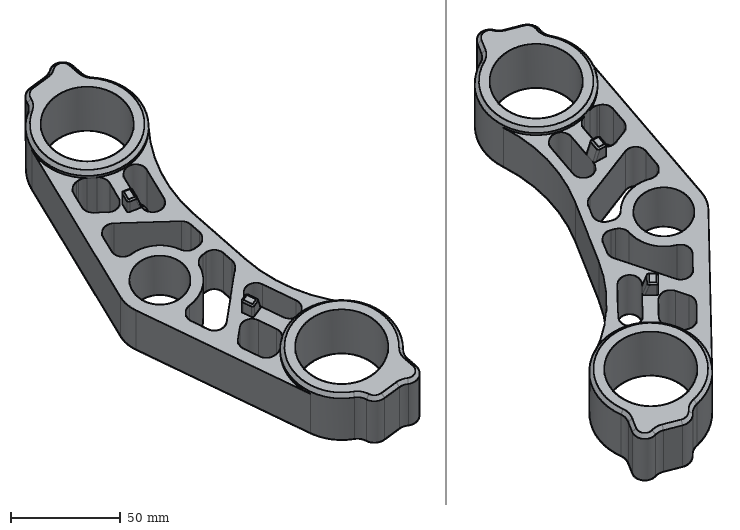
import cadquery as cq
import math

overall_length = 245.5

plate_height = 30.2
boss_height = 34.0
peg_top = 39.0

hub_bore_radius = 14.0
hub_wall_radius = 20.0

boss_x, boss_y = -86.5, 34.0
boss_radius = 28.2
boss_bore_radius = 21.4
boss_chamfer = 2.0

tip_y = -20.6
tip_radius = 18.0
tip_centre_y = tip_y + tip_radius

lug_side_x = -120.3
lug_top_y = 52.5
upper_nose_radius = 6.1
upper_nose_x = -overall_length / 2 + upper_nose_radius
upper_nose_y = lug_top_y - upper_nose_radius
lower_nose_radius = 6.9
lower_nose_x = lug_side_x + lower_nose_radius
lower_nose_y = 29.5
lug_blend_radius = 7.4

rear_y = 37.0
rear_sweep_radius = 78.5

tip_to_boss = math.hypot(boss_x, boss_y - tip_centre_y)
arm_angle = (math.atan2(boss_y - tip_centre_y, -boss_x)
             - math.asin((boss_radius - tip_radius) / tip_to_boss))
arm_degrees = math.degrees(arm_angle)

pocket_corner_radius = 5.6
centre_rib = 5.2
large_pocket_rear_y = 32.0
large_pocket_front = -12.8
small_pocket_front = -14.0
small_pocket_rear = 3.5
small_pocket_wall_x = -67.3
brace_width = 6.5
brace_angle = math.radians(49.7)
brace_foot_x = -43.7

slot_radius = 5.6
slot_across = 16.5
slot_outer_end = -59.5
slot_inner_end = -41.5

peg_along = -44.5
peg_width = 6.6
peg_front = small_pocket_rear
peg_rear = slot_across - slot_radius
peg_rear_lean = 2.5
peg_corner_radius = 1.0
peg_top_chamfer = 0.85


def polar(centre, radius, angle):
    """Point on a circle."""
    return (centre[0] + radius * math.cos(angle), centre[1] + radius * math.sin(angle))


def toward(start, end, distance):
    """Point at a distance from start in the direction of end."""
    return polar(start, distance, math.atan2(end[1] - start[1], end[0] - start[0]))


def arc_middle(centre, start, end):
    """Middle of the shorter arc between two points about a centre."""
    chord_middle = ((start[0] + end[0]) / 2, (start[1] + end[1]) / 2)
    return toward(centre, chord_middle, math.dist(centre, start))


def arm_point(along, across):
    """Point given along and square to the left arm, in part coordinates."""
    return (along * math.cos(arm_angle) + across * math.sin(arm_angle),
            -along * math.sin(arm_angle) + across * math.cos(arm_angle))


def crossing(point_a, angle_a, point_b, angle_b):
    """Where two lines, each given by a point and an angle, cross."""
    dx, dy = point_b[0] - point_a[0], point_b[1] - point_a[1]
    distance = ((dx * math.sin(angle_b) - dy * math.cos(angle_b))
                / math.sin(angle_b - angle_a))
    return polar(point_a, distance, angle_a)


hub = (0, 0)
boss = (boss_x, boss_y)


def cylinder(centre, radius, height):
    """Upright cylinder standing on the underside plane."""
    return cq.Workplane("XY").center(*centre).circle(radius).extrude(height)


def plate():
    """Left half of the plate, reaching to the boss axis."""
    sweep_y = rear_y + rear_sweep_radius
    sweep_x = boss_x + math.sqrt((boss_radius + rear_sweep_radius) ** 2 - (sweep_y - boss_y) ** 2)
    sweep = (sweep_x, sweep_y)
    sweep_start = (sweep_x, rear_y)
    sweep_end = toward(boss, sweep, boss_radius)
    front_normal = -math.pi / 2 - arm_angle
    tip_centre = (0, tip_centre_y)
    tip_start = polar(tip_centre, tip_radius, front_normal)
    tip_end = (0, tip_y)
    return (
        cq.Workplane("XY")
        .moveTo(0, rear_y)
        .lineTo(*sweep_start)
        .threePointArc(arc_middle(sweep, sweep_start, sweep_end), sweep_end)
        .lineTo(*boss)
        .lineTo(*polar(boss, boss_radius, front_normal))
        .lineTo(*tip_start)
        .threePointArc(arc_middle(tip_centre, tip_start, tip_end), tip_end)
        .close()
        .extrude(plate_height)
    )


def boss_and_lug():
    """Left boss with its lug, chamfered around the top; all noses and blends are tangent arcs."""
    upper_nose = (upper_nose_x, upper_nose_y)
    lower_nose = (lower_nose_x, lower_nose_y)
    boss_reach = boss_radius + lug_blend_radius

    rear_blend_y = lug_top_y + lug_blend_radius
    rear_blend_x = boss_x - math.sqrt(boss_reach ** 2 - (rear_blend_y - boss_y) ** 2)
    rear_blend = (rear_blend_x, rear_blend_y)
    rear_start = toward(boss, rear_blend, boss_radius)
    rear_end = (rear_blend_x, lug_top_y)

    side_blend_x = lug_side_x - lug_blend_radius
    side_blend_y = upper_nose_y - math.sqrt(
        (upper_nose_radius + lug_blend_radius) ** 2 - (upper_nose_x - side_blend_x) ** 2)
    side_blend = (side_blend_x, side_blend_y)
    nose_start = (upper_nose_x, lug_top_y)
    nose_end = toward(upper_nose, side_blend, upper_nose_radius)
    side_start = (lug_side_x, side_blend_y)

    side_end = (lug_side_x, lower_nose_y)
    nose_reach = lower_nose_radius + lug_blend_radius
    nose_to_boss = math.dist(lower_nose, boss)
    blend_turn = math.acos((nose_reach ** 2 + nose_to_boss ** 2 - boss_reach ** 2)
                           / (2 * nose_reach * nose_to_boss))
    boss_direction = math.atan2(boss_y - lower_nose_y, boss_x - lower_nose_x)
    front_blend = polar(lower_nose, nose_reach, boss_direction - blend_turn)
    front_start = toward(lower_nose, front_blend, lower_nose_radius)
    front_end = toward(boss, front_blend, boss_radius)

    return (
        cq.Workplane("XY")
        .moveTo(*rear_start)
        .threePointArc(arc_middle(rear_blend, rear_start, rear_end), rear_end)
        .lineTo(*nose_start)
        .threePointArc(arc_middle(upper_nose, nose_start, nose_end), nose_end)
        .threePointArc(arc_middle(side_blend, nose_end, side_start), side_start)
        .lineTo(*side_end)
        .threePointArc(arc_middle(lower_nose, side_end, front_start), front_start)
        .threePointArc(arc_middle(front_blend, front_start, front_end), front_end)
        .threePointArc((boss_x + boss_radius, boss_y), rear_start)
        .close()
        .extrude(boss_height)
        .faces(">Z")
        .chamfer(boss_chamfer)
    )


def large_pocket():
    """Pocket between the brace, the centre rib and the hub."""
    brace_foot = (brace_foot_x, 0)
    front = arm_point(0, large_pocket_front)
    rib_x = -centre_rib / 2
    outline = [
        crossing(brace_foot, brace_angle, (0, large_pocket_rear_y), 0),
        (rib_x, large_pocket_rear_y),
        (rib_x, 0),
        front,
        crossing(brace_foot, brace_angle, front, -arm_angle),
    ]
    blank = cq.Workplane("XY").polyline(outline).close().extrude(plate_height)
    blank = blank.cut(cylinder(hub, hub_wall_radius, plate_height))
    return blank.edges("|Z").fillet(pocket_corner_radius)


def small_pocket():
    """Pocket between the brace and the boss."""
    brace_foot = (brace_foot_x - brace_width / math.sin(brace_angle), 0)
    front = arm_point(0, small_pocket_front)
    rear = arm_point(0, small_pocket_rear)
    wall = (small_pocket_wall_x, 0)
    outline = [
        crossing(wall, math.pi / 2, front, -arm_angle),
        crossing(brace_foot, brace_angle, front, -arm_angle),
        crossing(brace_foot, brace_angle, rear, -arm_angle),
        crossing(wall, math.pi / 2, rear, -arm_angle),
    ]
    blank = cq.Workplane("XY").polyline(outline).close().extrude(plate_height)
    blank = blank.cut(cylinder(boss, boss_radius, plate_height))
    return blank.edges("|Z").fillet(pocket_corner_radius)


def slot():
    """Round-ended slot along the arm; the boss closes off its outer end."""
    length = slot_inner_end - slot_outer_end + 2 * slot_radius
    middle = (slot_inner_end + slot_outer_end) / 2
    return (
        cq.Workplane("XY")
        .center(middle, slot_across)
        .slot2D(length, 2 * slot_radius)
        .extrude(plate_height)
        .rotate((0, 0, 0), (0, 0, 1), -arm_degrees)
    )


def peg():
    """Upright peg with a leaning rear face."""
    profile = [
        (peg_front, plate_height),
        (peg_rear, plate_height),
        (peg_rear - peg_rear_lean, peg_top),
        (peg_front, peg_top),
    ]
    return (
        cq.Workplane("YZ")
        .workplane(offset=peg_along - peg_width / 2)
        .polyline(profile)
        .close()
        .extrude(peg_width)
        .edges("not(#Z or |X)")
        .fillet(peg_corner_radius)
        .faces(">Z")
        .chamfer(peg_top_chamfer)
        .rotate((0, 0, 0), (0, 0, 1), -arm_degrees)
    )


left_half = (
    plate()
    .cut(large_pocket())
    .cut(small_pocket())
    .cut(slot())
    .union(boss_and_lug())
    .union(peg())
    .cut(cylinder(boss, boss_bore_radius, boss_height))
    .cut(cylinder(hub, hub_bore_radius, plate_height))
)
result = left_half.union(left_half.mirror("YZ")).clean()